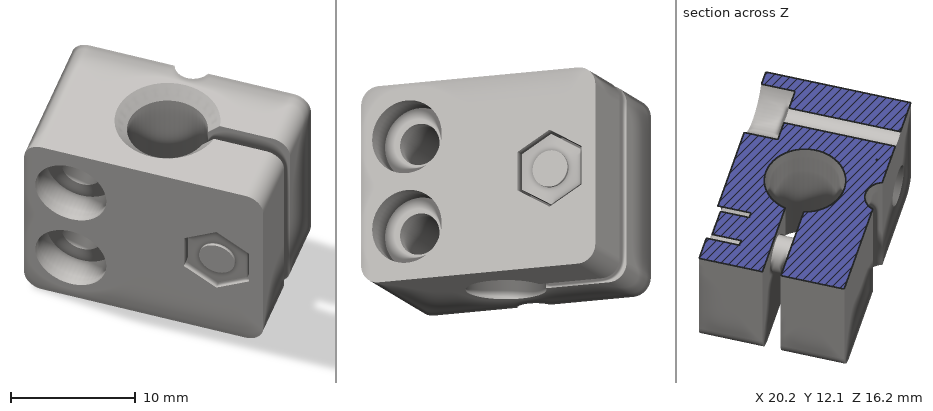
import cadquery as cq

LENGTH = 20.2
WIDTH = 12.1
HEIGHT = 16.2
CORNER_RADIUS = 1.5
FRONT_Y = -WIDTH / 2
BACK_Y = WIDTH / 2

BORE_DIAMETER = 6.5
BORE_CHAMFER = 1.0

SLOT_WIDTH = 1.5

GROOVE_DIAMETER = 3.0
GROOVE_DEPTH = 1.0

MOUNT_X = -6.15
MOUNT_SPACING = 7.4
MOUNT_DIAMETER = 3.4
COUNTERBORE_DIAMETER = 6.0
COUNTERBORE_DEPTH = 2.8

SCREW_X = 6.15
SCREW_DIAMETER = 3.0
SCREW_END_RECESS = 0.1
POCKET_ACROSS_FLATS = 5.5
POCKET_DEPTH = 2.75
POCKET_FLOOR_Y = FRONT_Y + POCKET_DEPTH
NUT_ACROSS_FLATS = 5.05
NUT_RECESS = 0.35


def cylinder_along_y(x, z, diameter, start_y, end_y):
    """Cylinder parallel to Y between two Y positions."""
    start = cq.Vector(x, start_y, z)
    direction = cq.Vector(0, 1, 0)
    return cq.Workplane(cq.Solid.makeCylinder(diameter / 2, end_y - start_y, start, direction))


def hexagon_along_y(across_flats, start_y, end_y):
    """Hexagonal prism on the screw axis, with two corners pointing along Z."""
    return (
        cq.Workplane("XZ", origin=(SCREW_X, start_y, 0))
        .polygon(6, across_flats, circumscribed=True)
        .extrude(start_y - end_y)
    )


def make_block():
    return cq.Workplane("XY").box(LENGTH, WIDTH, HEIGHT).edges("|Y").fillet(CORNER_RADIUS)


def make_bore():
    """Half profile of the bore and its countersink, revolved about Z."""
    radius = BORE_DIAMETER / 2
    top = HEIGHT / 2
    profile = [
        (0, -top),
        (radius, -top),
        (radius, top - BORE_CHAMFER),
        (radius + BORE_CHAMFER, top),
        (0, top),
    ]
    return cq.Workplane("XZ").polyline(profile).close().revolve(axisStart=(0, 0), axisEnd=(0, 1))


def make_slot():
    return cq.Workplane("XY").box(LENGTH / 2, SLOT_WIDTH, HEIGHT, centered=(False, True, True))


def make_groove():
    axis_y = BACK_Y - GROOVE_DEPTH + GROOVE_DIAMETER / 2
    return cq.Workplane("XY").center(0, axis_y).circle(GROOVE_DIAMETER / 2).extrude(HEIGHT / 2, both=True)


def make_mounting_hole(z):
    hole = cylinder_along_y(MOUNT_X, z, MOUNT_DIAMETER, FRONT_Y, BACK_Y)
    counterbore_floor = FRONT_Y + COUNTERBORE_DEPTH
    return hole.union(cylinder_along_y(MOUNT_X, z, COUNTERBORE_DIAMETER, FRONT_Y, counterbore_floor))


def make_nut_pocket():
    return hexagon_along_y(POCKET_ACROSS_FLATS, FRONT_Y, POCKET_FLOOR_Y)


def make_screw_and_nut():
    """Screw joining both jaws, with its nut standing on the pocket floor."""
    nut = hexagon_along_y(NUT_ACROSS_FLATS, FRONT_Y + NUT_RECESS, POCKET_FLOOR_Y)
    screw = cylinder_along_y(SCREW_X, 0, SCREW_DIAMETER, FRONT_Y + SCREW_END_RECESS, BACK_Y)
    return nut.union(screw)


result = make_block().cut(make_bore()).cut(make_slot()).cut(make_groove())
for hole_z in (-MOUNT_SPACING / 2, MOUNT_SPACING / 2):
    result = result.cut(make_mounting_hole(hole_z))
result = result.cut(make_nut_pocket())
result = result.union(make_screw_and_nut())